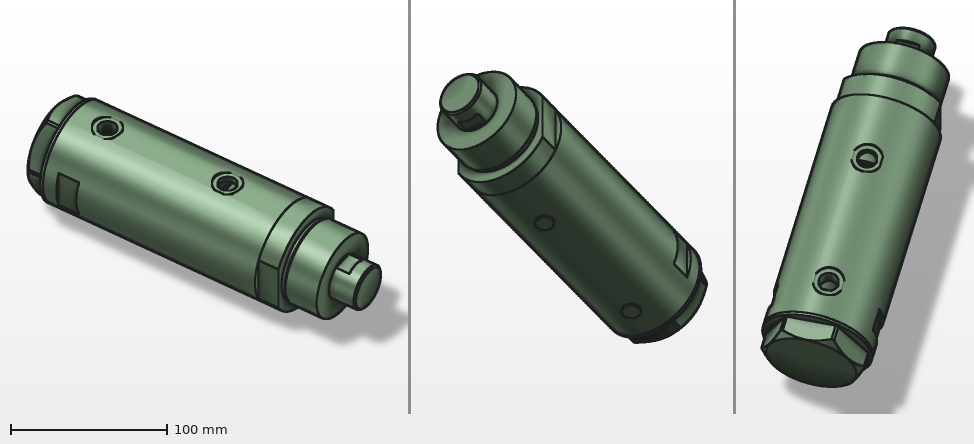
import cadquery as cq
import math

hex_end = 14.0
cap_flange_end = 16.2
tube_end = 178.5
gland_flange_end = 193.7
relief_end = 196.4
collar_end = 221.5
rod_face = 241.5

tube_radius = 36.5
bore_radius = 24.2
gland_bore_radius = 31.5
gland_bore_start = 126.8
wrench_flat_start = 26.3
wrench_flat_end = 41.8
wrench_flat_offset = 33.5

port_positions = (41.5, 133.5)
port_diameter = 12.8
spotface_diameter = 20.0
spotface_depth = 1.2
boss_positions = (40.0, 142.0)
boss_diameter = 12.3
boss_height = 1.2

hex_across_flats = 60.5
hex_corner_radius = 34.3
hex_face_radius = 30.0
hex_chamfer_length = 3.9
hex_turn = -7.4
cap_plug_end = 31.5
cap_nose_radius = 22.2
cap_nose_end = 42.3

gland_flat_offset = 32.1
gland_spigot_start = 133.3
relief_radius = 28.7
collar_radius = 30.0
collar_chamfer = collar_radius - relief_radius

rod_inner_radius = 20.5
rod_radius = 15.7
rod_flat_offset = 13.8
rod_flat_end = 231.5
rod_chamfer = 1.2


def cylinder(start, end, radius):
    """Solid cylinder on the X axis."""
    return cq.Workplane("YZ", origin=(start, 0, 0)).circle(radius).extrude(end - start)


def turned(profile):
    """Revolve an (x, radius) outline around the X axis."""
    return cq.Workplane("XY").polyline(profile).close().revolve(360, (0, 0, 0), (1, 0, 0))


def flat_cutters(start, end, offset, direction):
    """Pair of blocks that cut opposite flats, facing +/-direction, at the given distance from the axis."""
    size = 2 * tube_radius
    blocks = []
    for side in (1, -1):
        center = direction * (side * (offset + size / 2)) + cq.Vector((start + end) / 2, 0, 0)
        blocks.append(cq.Workplane("XY").box(end - start, size, size).translate(center))
    return blocks[0].union(blocks[1])


def make_tube():
    tube = cylinder(cap_flange_end, tube_end, tube_radius)
    for x in boss_positions:
        boss = (
            cq.Workplane("XY", origin=(x, 0, -tube_radius - boss_height))
            .circle(boss_diameter / 2)
            .extrude(tube_radius - gland_bore_radius + boss_height)
        )
        tube = tube.union(boss)
    tube = tube.cut(cylinder(cap_flange_end, tube_end, bore_radius))
    tube = tube.cut(cylinder(gland_bore_start, tube_end, gland_bore_radius))
    tube = tube.cut(flat_cutters(wrench_flat_start, wrench_flat_end, wrench_flat_offset, cq.Vector(0, 1, 0)))
    for x in port_positions:
        port = cq.Workplane("XY", origin=(x, 0, 0)).circle(port_diameter / 2).extrude(tube_radius)
        spotface = (
            cq.Workplane("XY", origin=(x, 0, tube_radius - spotface_depth))
            .circle(spotface_diameter / 2)
            .extrude(spotface_depth)
        )
        tube = tube.cut(port).cut(spotface)
    return tube


def make_cap():
    across_corners = hex_across_flats / math.cos(math.pi / 6)
    hexagon = cq.Workplane("YZ").polygon(6, across_corners).extrude(hex_end)
    hexagon = hexagon.rotate((0, 0, 0), (1, 0, 0), hex_turn)
    corner_envelope = turned([
        (0, 0),
        (0, hex_face_radius),
        (hex_chamfer_length, hex_corner_radius),
        (hex_end, hex_corner_radius),
        (hex_end, 0),
    ])
    return (
        hexagon.intersect(corner_envelope)
        .union(cylinder(hex_end, cap_flange_end, tube_radius))
        .union(cylinder(cap_flange_end, cap_plug_end, bore_radius))
        .union(cylinder(cap_plug_end, cap_nose_end, cap_nose_radius))
    )


def make_gland():
    flange = cylinder(tube_end, gland_flange_end, tube_radius)
    flange = flange.cut(flat_cutters(tube_end, gland_flange_end, gland_flat_offset, cq.Vector(0, 1, 0)))
    collar = turned([
        (gland_flange_end, 0),
        (gland_flange_end, relief_radius),
        (relief_end, relief_radius),
        (relief_end + collar_chamfer, collar_radius),
        (collar_end, collar_radius),
        (collar_end, 0),
    ])
    spigot = cylinder(gland_spigot_start, tube_end, gland_bore_radius)
    rod_hole = cylinder(gland_spigot_start, collar_end, rod_radius)
    return flange.union(collar).union(spigot).cut(rod_hole)


def make_rod():
    rod = turned([
        (cap_nose_end, 0),
        (cap_nose_end, rod_inner_radius),
        (gland_spigot_start, rod_inner_radius),
        (gland_spigot_start, rod_radius),
        (rod_face - rod_chamfer, rod_radius),
        (rod_face, rod_radius - rod_chamfer),
        (rod_face, 0),
    ])
    return rod.cut(flat_cutters(collar_end, rod_flat_end, rod_flat_offset, cq.Vector(0, 0, 1)))


tube = make_tube()
cap = make_cap()
gland = make_gland()
rod = make_rod()

result = cq.Compound.makeCompound([tube.val(), cap.val(), gland.val(), rod.val()])